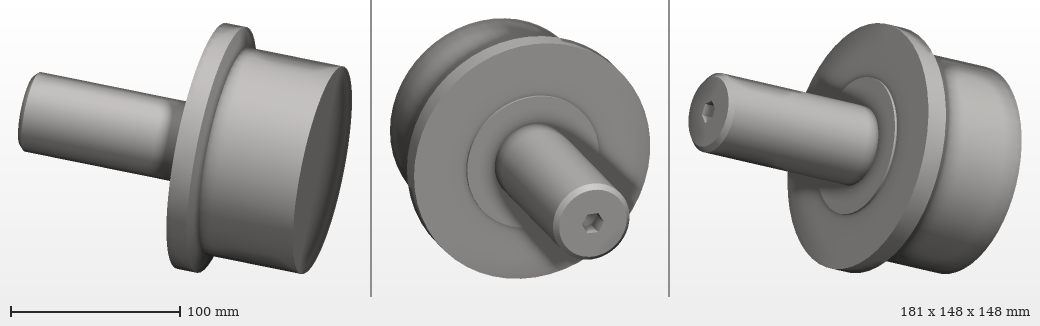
import cadquery as cq
import math

total_length = 181.0
shaft_diameter = 48.0
shaft_chamfer = 2.9
shaft_length = 105.0
collar_diameter = 82.5
collar_thickness = 1.6
flange_diameter = 148.0
flange_thickness = 12.5
cone_length = 4.0
tread_diameter = 125.0

hex_across_flats = 12.0
hex_depth = 12.0
drill_point_angle = 120.0

shaft_end = -total_length / 2
roller_end = total_length / 2
collar_face = shaft_end + shaft_length
flange_face = collar_face + collar_thickness
flange_back = flange_face + flange_thickness
tread_start = flange_back + cone_length


def make_body():
    """Revolve the half profile of shaft, collar, flange and tread about X."""
    shaft_radius = shaft_diameter / 2
    collar_radius = collar_diameter / 2
    flange_radius = flange_diameter / 2
    tread_radius = tread_diameter / 2
    profile = [
        (shaft_end, 0),
        (shaft_end, shaft_radius - shaft_chamfer),
        (shaft_end + shaft_chamfer, shaft_radius),
        (collar_face, shaft_radius),
        (collar_face, collar_radius),
        (flange_face, collar_radius),
        (flange_face, flange_radius),
        (flange_back, flange_radius),
        (tread_start, tread_radius),
        (roller_end, tread_radius),
        (roller_end, 0),
    ]
    return cq.Workplane("XY").polyline(profile).close().revolve(360, (0, 0), (1, 0))


def make_socket():
    """Hexagonal prism with corners along Y, ending in a conical drill point."""
    across_corners = hex_across_flats / math.cos(math.radians(30))
    prism = (
        cq.Workplane("YZ", origin=(shaft_end, 0, 0))
        .polygon(6, across_corners)
        .extrude(hex_depth)
    )
    point_radius = hex_across_flats / 2
    point_depth = point_radius / math.tan(math.radians(drill_point_angle / 2))
    socket_bottom = shaft_end + hex_depth
    point = (
        cq.Workplane("XY")
        .polyline([
            (socket_bottom, 0),
            (socket_bottom, point_radius),
            (socket_bottom + point_depth, 0),
        ])
        .close()
        .revolve(360, (0, 0), (1, 0))
    )
    return prism.union(point)


result = make_body().cut(make_socket())